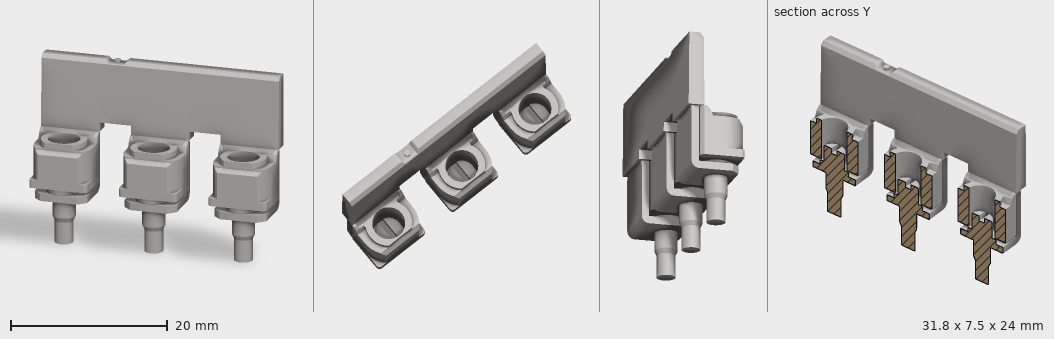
import cadquery as cq


bar_length = 31.8
total_height = 24.0
bar_bottom = 14.35
bar_base_depth = 2.1
bar_draft = 0.1
bar_chamfer = 0.5
slot_top = 15.58

terminal_count = 3
clamp_width = 7.8
pitch = (bar_length - clamp_width) / (terminal_count - 1)
screw_y = -4.67

notch_center = 9.9
notch_floor_width = 2.0
notch_depth = 0.4
notch_rounding = 0.25
pin_radius = 0.4
pin_y = -1.02

plate_width = 7.0
plate_thickness = 1.0
plate_back = -0.5
foot_bottom = 5.95
foot_top = foot_bottom + plate_thickness
foot_front = -7.0
foot_chamfer = 1.02
shoulder_height = 13.75
shoulder_inset = 0.13

clamp_front = -7.5
clamp_back = -1.65
clamp_bottom = 7.75
back_chamfer = 0.45
flange_top = 8.8
flange_rounding = 0.5
ledge_height = 13.05
crown_height = 13.85
crown_front = -7.0
crown_radius = 3.0
neck_half_width = 2.65
neck_rounding = 0.15
neck_length = 0.6
tab_front = -2.42
ledge_back = -3.25
front_chamfer = 0.5
front_chamfer_top = 12.85
recess_back = -2.13
recess_floor_width = 6.55
bore_radius = 2.1

head_radius = 1.75
head_top = 10.18
head_chamfer = 0.15
driver_slot_width = 0.8
driver_slot_depth = 0.75
washer_radius = 2.4
washer_top = 7.63
washer_bevel_height = 0.15
washer_bevel_inset = 0.048
shank_radius = 1.5
shank_bottom = 3.55
tip_radius = 1.2
tip_top = 2.95


def box(x_range, y_range, z_range):
    """Axis-aligned block between the given limits."""
    size = [high - low for low, high in (x_range, y_range, z_range)]
    corner = (x_range[0], y_range[0], z_range[0])
    return cq.Workplane("XY").box(*size, centered=False).translate(corner)


def cylinder(radius, bottom, top, y=screw_y):
    """Upright cylinder at X = 0."""
    return cq.Workplane("XY", origin=(0, y, bottom)).circle(radius).extrude(top - bottom)


def side_prism(points, width):
    """Prism with a (Y, Z) outline, centred on X = 0."""
    return cq.Workplane("YZ").polyline(points).close().extrude(width / 2, both=True)


def make_bar():
    top_back = -bar_draft
    top_front = -bar_base_depth + bar_draft
    outline = [
        (0, bar_bottom),
        (top_back, total_height),
        (top_front + bar_chamfer, total_height),
        (top_front, total_height - bar_chamfer),
        (-bar_base_depth, bar_bottom),
    ]
    bar = side_prism(outline, bar_length).translate((bar_length / 2, 0, 0))
    for i in range(terminal_count - 1):
        slot_start = clamp_width + i * pitch
        slot_end = (i + 1) * pitch
        bar = bar.cut(box((slot_start, slot_end), (-bar_base_depth, 0), (bar_bottom, slot_top)))
    return add_marker(bar)


def add_marker(bar):
    """Cut the notch with 45 degree walls and rounded rims, then add the pin on its floor."""
    floor = total_height - notch_depth
    half_floor = notch_floor_width / 2
    half_top = half_floor + notch_depth
    outline = [
        (-half_floor, floor),
        (half_floor, floor),
        (half_top, total_height),
        (-half_top, total_height),
    ]
    notch = cq.Workplane("XZ").polyline(outline).close().extrude(bar_base_depth)
    bar = bar.cut(notch.translate((notch_center, 0, 0)))
    for side in (-1, 1):
        rim = (notch_center + side * half_top, -bar_base_depth / 2, total_height)
        bar = bar.edges(cq.selectors.NearestToPointSelector(rim)).fillet(notch_rounding)
    pin = cylinder(pin_radius, floor, total_height, pin_y)
    return bar.union(pin.translate((notch_center, 0, 0)))


def make_plate():
    half_width = plate_width / 2
    upright_front = plate_back - plate_thickness
    plate = box((-half_width, half_width), (foot_front, plate_back), (foot_bottom, bar_bottom))
    plate = plate.cut(box((-half_width, half_width), (foot_front, upright_front), (foot_top, bar_bottom)))
    plate = plate.edges("|X and >Y and <Z").fillet(plate_thickness)
    plate = plate.edges("|Z and <Y").chamfer(foot_chamfer)
    neck_half = half_width - shoulder_inset
    for x_range in ((-half_width, -neck_half), (neck_half, half_width)):
        plate = plate.cut(box(x_range, (upright_front, plate_back), (shoulder_height, bar_bottom)))
    return plate


def make_clamp():
    half_width = clamp_width / 2
    x_range = (-half_width, half_width)

    flange = box(x_range, (clamp_front, clamp_back), (clamp_bottom, flange_top))
    flange = flange.edges("|Z and <Y").fillet(flange_rounding)

    round_front = cylinder(half_width, flange_top, ledge_height)
    body = box(x_range, (screw_y, clamp_back), (flange_top, ledge_height)).union(round_front)
    body = body.intersect(box(x_range, (clamp_front, clamp_back), (flange_top, ledge_height)))
    edge_cut = side_prism(
        [
            (crown_front, ledge_height),
            (crown_front, front_chamfer_top),
            (clamp_front, front_chamfer_top - front_chamfer),
            (clamp_front, ledge_height),
        ],
        clamp_width,
    )
    body = body.cut(edge_cut)

    neck_back = tab_front - (bar_bottom - crown_height)
    crown = cylinder(crown_radius, ledge_height, crown_height)
    neck_x = (-neck_half_width, neck_half_width)
    crown = crown.union(box(neck_x, (neck_back - neck_length, neck_back), (ledge_height, crown_height)))
    crown = crown.intersect(box(x_range, (crown_front, neck_back), (ledge_height, crown_height)))

    back_wall = side_prism(
        [
            (clamp_back, ledge_height),
            (clamp_back, bar_bottom),
            (tab_front, bar_bottom),
            (neck_back, crown_height),
            (ledge_back, ledge_height),
        ],
        clamp_width,
    )
    clamp = flange.union(body).union(crown).union(back_wall.cut(make_recess()))
    clamp = clamp.edges("|Z and >Y").chamfer(back_chamfer)
    corner_y = (neck_back + ledge_back) / 2
    corner_z = (crown_height + ledge_height) / 2
    for corner_x in neck_x:
        corner = (corner_x, corner_y, corner_z)
        clamp = clamp.edges(cq.selectors.NearestToPointSelector(corner)).fillet(neck_rounding)
    return clamp.cut(cylinder(bore_radius, clamp_bottom, crown_height))


def make_recess():
    """Space above the slope between the end tabs; it narrows downward."""
    rise = bar_bottom - crown_height
    neck_back = tab_front - rise
    half_floor = recess_floor_width / 2
    half_top = half_floor + rise / 2
    above_slope = side_prism(
        [
            (recess_back, bar_bottom),
            (recess_back - rise, crown_height),
            (neck_back, crown_height),
            (neck_back, bar_bottom),
        ],
        clamp_width,
    )
    outline = [
        (-half_floor, crown_height),
        (half_floor, crown_height),
        (half_top, bar_bottom),
        (-half_top, bar_bottom),
    ]
    tapered = cq.Workplane("XZ").polyline(outline).close().extrude(-neck_back)
    return above_slope.intersect(tapered)


def make_screw():
    """Turned profile from tip to head, with the driver slot cut across the head."""
    bevel_radius = washer_radius - washer_bevel_inset
    profile = [
        (0, 0),
        (tip_radius, 0),
        (tip_radius, tip_top),
        (shank_radius, shank_bottom),
        (shank_radius, foot_top),
        (bevel_radius, foot_top),
        (washer_radius, foot_top + washer_bevel_height),
        (washer_radius, washer_top - washer_bevel_height),
        (bevel_radius, washer_top),
        (head_radius, washer_top),
        (head_radius, head_top - head_chamfer),
        (head_radius - head_chamfer, head_top),
        (0, head_top),
    ]
    screw = cq.Workplane("XZ").polyline(profile).close().revolve(360, (0, 0, 0), (0, 1, 0))
    half_slot = driver_slot_width / 2
    screw = screw.cut(
        box(
            (-half_slot, half_slot),
            (-head_radius, head_radius),
            (head_top - driver_slot_depth, head_top),
        )
    )
    return screw.translate((0, screw_y, 0))


terminal_parts = (make_plate(), make_clamp(), make_screw())
result = make_bar()
for i in range(terminal_count):
    terminal_x = clamp_width / 2 + i * pitch
    for piece in terminal_parts:
        result = result.union(piece.translate((terminal_x, 0, 0)))